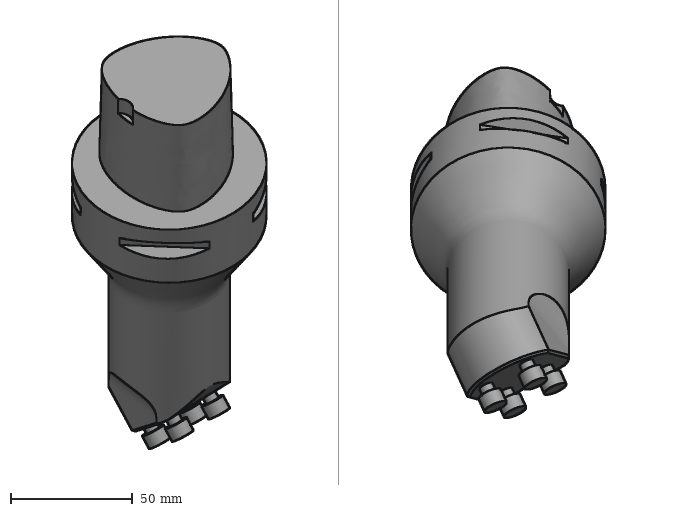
import cadquery as cq
import math


shank_height = 48.1
shank_mean_radius = 27.5
shank_taper = 1.0
lobe_height = 2.2
outline_points = 48
notch_radius = 5.8
notch_axis_y = -27.7
notch_depth = 8.0

flange_radius = 40.0
flange_height = 30.0
stem_radius = 25.0
cone_angle = math.radians(30)
neck_fillet = 20.0
stem_blank_length = 160.4

groove_count = 4
groove_z = -12.0
groove_floor_distance = 35.5
groove_floor_width = 3.8
groove_wall_angle = math.radians(30)
groove_overrun = 4.0

head_angle = 45
face_level = 140.3 / math.sqrt(2)
head_axis_level = -126.9 / math.sqrt(2)
head_radius = 22.0
head_chamfer = 1.0
back_curve_top_z = -109.0
back_curve_end_x = 18.5
back_curve_radius = 40.0

flat_offset = 20.2
flat_top_z = -121.7
runout_radius = 20.0

screw_diameter = 6.0
screw_neck_length = 3.8
screw_root_length = 2.0
screw_head_diameter = 10.0
screw_head_length = 6.0
screw_pitch = 20.0
screw_pattern_level = -129.3 / math.sqrt(2)

reach = 120.3


def shank_outline(mean_radius):
    """Points of the constant-width trilobe: support h = mean + lobe * cos(3t), lobe on +Y."""
    points = []
    for i in range(outline_points):
        t = 2 * math.pi * i / outline_points
        support = mean_radius + lobe_height * math.cos(3 * t)
        slope = -3 * lobe_height * math.sin(3 * t)
        along = support * math.cos(t) - slope * math.sin(t)
        across = support * math.sin(t) + slope * math.cos(t)
        points.append((-across, along))
    return points


def make_shank():
    shank = (
        cq.Workplane("XY")
        .spline(shank_outline(shank_mean_radius), periodic=True).close()
        .workplane(offset=shank_height)
        .spline(shank_outline(shank_mean_radius - shank_taper), periodic=True).close()
        .loft(combine=True)
    )
    notch = (
        cq.Workplane("XY", origin=(0, notch_axis_y, shank_height - notch_depth))
        .circle(notch_radius).extrude(notch_depth)
    )
    return shank.cut(notch)


def make_flange_and_cone():
    """Revolve the flange, the cone, and the tangent neck fillet."""
    fillet_start_r = stem_radius + neck_fillet * (1 - math.cos(cone_angle))
    fillet_start_z = -flange_height - (flange_radius - fillet_start_r) / math.tan(cone_angle)
    fillet_end_z = fillet_start_z - neck_fillet * math.sin(cone_angle)
    mid_r = stem_radius + neck_fillet * (1 - math.cos(cone_angle / 2))
    mid_z = fillet_end_z + neck_fillet * math.sin(cone_angle / 2)
    return (
        cq.Workplane("XZ")
        .moveTo(0, 0)
        .lineTo(flange_radius, 0)
        .lineTo(flange_radius, -flange_height)
        .lineTo(fillet_start_r, fillet_start_z)
        .threePointArc((mid_r, mid_z), (stem_radius, fillet_end_z))
        .lineTo(0, fillet_end_z)
        .close()
        .revolve(360, (0, 0, 0), (0, 1, 0))
    )


def make_grooves():
    """Trapezoidal grooves, cut straight across the flange on its diagonals."""
    mouth_distance = flange_radius + groove_overrun
    floor_half = groove_floor_width / 2
    mouth_half = floor_half + (mouth_distance - groove_floor_distance) * math.tan(groove_wall_angle)
    groove = (
        cq.Workplane("XZ")
        .polyline([
            (groove_floor_distance, groove_z - floor_half),
            (mouth_distance, groove_z - mouth_half),
            (mouth_distance, groove_z + mouth_half),
            (groove_floor_distance, groove_z + floor_half),
        ])
        .close()
        .extrude(flange_radius, both=True)
    )
    step = 360 / groove_count
    grooves = cq.Workplane("XY")
    for i in range(groove_count):
        grooves = grooves.add(groove.rotate((0, 0, 0), (0, 0, 1), step * (i + 0.5)))
    return grooves.combine()


def along_head(solid):
    """Turn a solid built along -Z so that it follows the head axis, down and toward +X."""
    return solid.rotate((0, 0, 0), (0, 1, 0), -head_angle)


def make_head_profile():
    """Block bounded by the curved back and the flat end face."""
    face_offset = face_level * math.sqrt(2)
    return (
        cq.Workplane("XZ")
        .moveTo(-reach, 0)
        .lineTo(stem_radius, 0)
        .lineTo(stem_radius, back_curve_top_z)
        .radiusArc((back_curve_end_x, back_curve_end_x - face_offset), back_curve_radius)
        .lineTo(-reach, -reach - face_offset)
        .close()
        .extrude(reach, both=True)
    )


def make_head_bar():
    """Inclined envelope, rounded on its lower side only, that trims the lower end of the stem."""
    bar = (
        cq.Workplane("XY", origin=(0, 0, -face_level))
        .moveTo(head_axis_level, head_radius)
        .threePointArc((head_axis_level - head_radius, 0), (head_axis_level, -head_radius))
        .lineTo(head_axis_level, -reach)
        .lineTo(reach, -reach)
        .lineTo(reach, reach)
        .lineTo(head_axis_level, reach)
        .close()
        .extrude(2 * reach)
    )
    return along_head(bar)


def make_flat_cut():
    """Cutter for the flat on the +Y side, with its concave run-out."""
    runout_axis_y = flat_offset + runout_radius
    diagonal = runout_radius * math.sqrt(0.5)
    return (
        cq.Workplane("YZ")
        .moveTo(flat_offset, -2 * reach)
        .lineTo(flat_offset, flat_top_z)
        .threePointArc(
            (runout_axis_y - diagonal, flat_top_z + diagonal),
            (runout_axis_y, flat_top_z + runout_radius),
        )
        .lineTo(runout_axis_y, -2 * reach)
        .close()
        .extrude(reach, both=True)
    )


def make_screws():
    """Four cap screws on a square pattern, standing proud of the end face."""
    screws = (
        cq.Workplane("XY", origin=(screw_pattern_level, 0, -face_level + screw_root_length))
        .rarray(screw_pitch, screw_pitch, 2, 2)
        .circle(screw_diameter / 2)
        .extrude(-screw_root_length - screw_neck_length)
    )
    heads = (
        cq.Workplane("XY", origin=(screw_pattern_level, 0, -face_level - screw_neck_length))
        .rarray(screw_pitch, screw_pitch, 2, 2)
        .circle(screw_head_diameter / 2)
        .extrude(-screw_head_length)
    )
    return along_head(screws.union(heads))


stem = cq.Workplane("XY").circle(stem_radius).extrude(-stem_blank_length)
flat_cut = make_flat_cut()
stem = stem.intersect(make_head_profile()).intersect(make_head_bar())
stem = stem.cut(flat_cut).cut(flat_cut.mirror("XZ"))
end_face = stem.faces(cq.selectors.DirectionMinMaxSelector(cq.Vector(1, 0, -1)))
rim = end_face.edges().filter(lambda edge: edge.Center().x < stem_radius / 2)
stem = stem.newObject(rim.vals()).chamfer(head_chamfer)

result = make_flange_and_cone().cut(make_grooves()).union(stem)
result = result.union(make_shank()).union(make_screws())